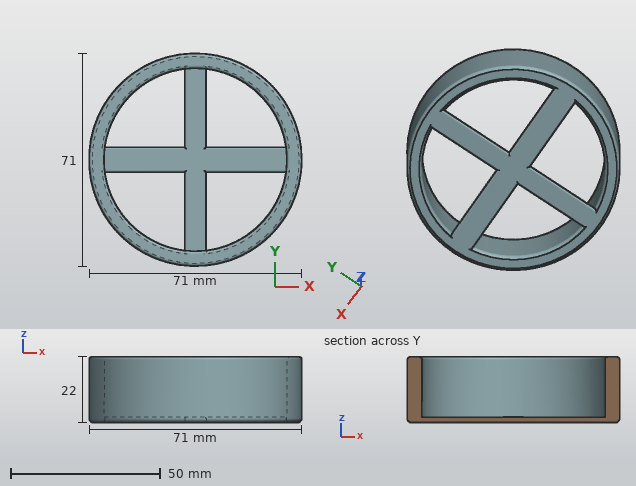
import cadquery as cq

outer_diameter = 71.0
inner_diameter = 61.0
height = 22.0
rim_fillet = 1.0
base_chamfer = 1.0
base_blend = 1.0

spoke_x_width = 8.4
spoke_y_width = 7.2
spoke_thickness = 2.0
spoke_fillet = 0.7

outer_radius = outer_diameter / 2
inner_radius = inner_diameter / 2


def make_ring():
    """Ring with rounded top edges and bottom chamfers blended into both walls."""
    ring = cq.Workplane("XY").circle(outer_radius).circle(inner_radius).extrude(height)
    ring = ring.faces("<Z").edges().chamfer(base_chamfer)
    ring = ring.edges(">>Z[2]").fillet(base_blend)
    return ring.faces(">Z").edges().fillet(rim_fillet)


def make_spokes():
    """Cross with rounded upper and lower edges, trimmed to end inside the ring wall."""
    centered = (True, True, False)
    spoke_x = cq.Workplane("XY").box(outer_diameter, spoke_x_width, spoke_thickness, centered=centered)
    spoke_y = cq.Workplane("XY").box(spoke_y_width, outer_diameter, spoke_thickness, centered=centered)
    cross = spoke_x.union(spoke_y).faces("|Z").edges().fillet(spoke_fillet)
    trim_radius = (outer_radius + inner_radius) / 2
    return cross.intersect(cq.Workplane("XY").circle(trim_radius).extrude(height))


result = make_ring().union(make_spokes())